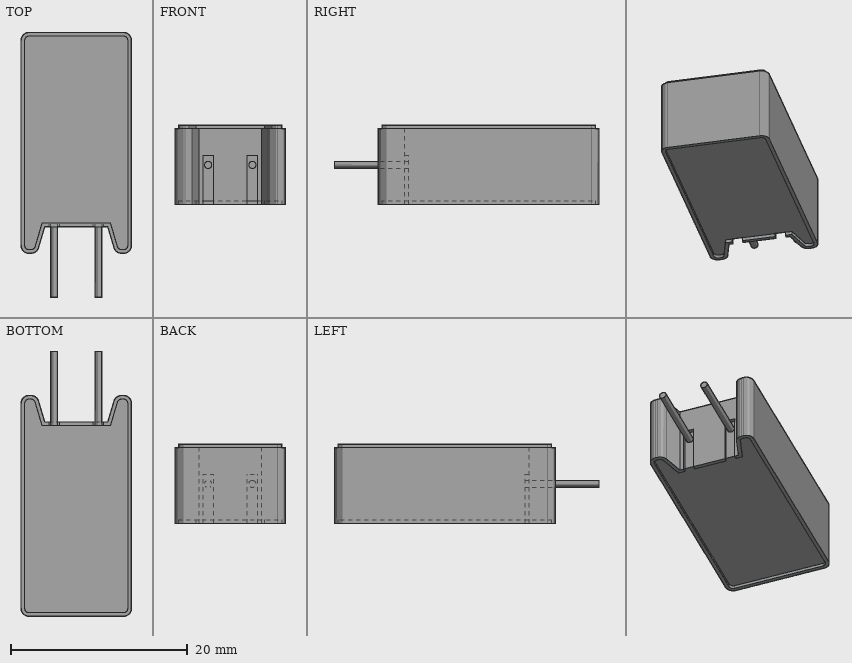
import cadquery as cq

case_width = 12.5
case_length = 25.02
case_height = 8.6
corner_radius = 0.9
leg_tip_width = 1.8
leg_root_width = 2.7
notch_depth = 3.0

wall = 0.42
core_step = 0.4

lead_diameter = 0.8
lead_pitch = 5.0
lead_height = 4.5
lead_overhang = 4.98
slot_width = 1.2
slot_height = 5.55

half_width = case_width / 2
back_y = case_length / 2
leg_tip_y = -case_length / 2
notch_floor_y = leg_tip_y + notch_depth
core_front_y = notch_floor_y + wall


def outline_block(height, inset=0.0):
    """Block with the case outline, its walls moved inwards by the inset."""
    leg_tip_x = half_width - leg_tip_width
    leg_root_x = half_width - leg_root_width
    outline = [
        (-half_width, back_y),
        (-half_width, leg_tip_y),
        (-leg_tip_x, leg_tip_y),
        (-leg_root_x, notch_floor_y),
        (leg_root_x, notch_floor_y),
        (leg_tip_x, leg_tip_y),
        (half_width, leg_tip_y),
        (half_width, back_y),
    ]
    sketch = cq.Workplane("XY").polyline(outline).close()
    if inset:
        sketch = sketch.offset2D(-inset, "intersection")
    end_corners = sketch.extrude(height).edges("|Z").edges("<Y or >Y")
    return end_corners.fillet(corner_radius - inset)


def slot(x):
    """Slot through the front wall, open at the underside."""
    return (
        cq.Workplane("XY")
        .box(slot_width, wall, slot_height, centered=(True, False, False))
        .translate((x, notch_floor_y, 0))
    )


def lead(x):
    """Round lead from inside the core out past the leg tips."""
    length = core_front_y - leg_tip_y + lead_overhang
    return (
        cq.Workplane("XZ", origin=(x, core_front_y, lead_height))
        .circle(lead_diameter / 2)
        .extrude(length)
    )


top_step = outline_block(core_step, wall).translate((0, 0, case_height))
underside_recess = outline_block(core_step, wall)
result = outline_block(case_height).cut(underside_recess).union(top_step)
for lead_x in (-lead_pitch / 2, lead_pitch / 2):
    result = result.cut(slot(lead_x)).union(lead(lead_x))